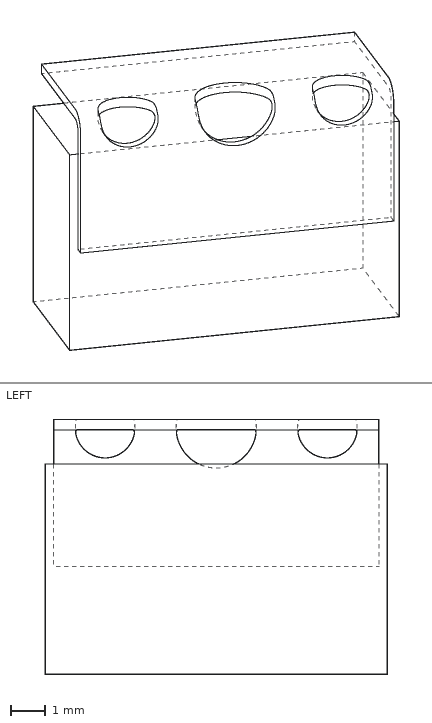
import cadquery as cq

block_depth = 4.0
block_width = 10.0
block_height = 6.15

plate_thickness = 0.3
plate_width = 9.5
plate_gap = 1.0
bend_inner_radius = 0.3
bend_outer_radius = bend_inner_radius + plate_thickness

plate_outer_x = block_depth + plate_thickness
plate_underside_z = block_height + plate_gap
plate_top_z = plate_underside_z + plate_thickness
leg_length = plate_outer_x
plate_bottom_z = plate_top_z - leg_length

side_hole_offset = 3.25
side_hole_radius = 0.87
middle_hole_radius = 1.17
hole_inset = 0.25
holes = [
    (-side_hole_offset, side_hole_radius),
    (0.0, middle_hole_radius),
    (side_hole_offset, side_hole_radius),
]


def make_block():
    return cq.Workplane("XY").box(
        block_depth, block_width, block_height, centered=(False, True, False)
    )


def make_plate():
    """L-shaped strip of constant thickness with a rounded bend."""
    bend_x = plate_outer_x - bend_outer_radius
    bend_z = plate_top_z - bend_outer_radius
    return (
        cq.Workplane("XZ")
        .moveTo(0, plate_underside_z)
        .lineTo(0, plate_top_z)
        .lineTo(bend_x, plate_top_z)
        .radiusArc((plate_outer_x, bend_z), bend_outer_radius)
        .lineTo(plate_outer_x, plate_bottom_z)
        .lineTo(block_depth, plate_bottom_z)
        .lineTo(block_depth, bend_z)
        .radiusArc((bend_x, plate_underside_z), -bend_inner_radius)
        .close()
        .extrude(plate_width / 2, both=True)
    )


def hole_cutter(y, radius):
    """A hole folded over the bend: a drill through each leg, mitred along the bend diagonal."""
    drill_height = bend_outer_radius
    vertical_drill = (
        cq.Workplane("XY", origin=(plate_outer_x - hole_inset, y, plate_top_z - drill_height))
        .circle(radius)
        .extrude(drill_height)
    )
    above_diagonal = (
        cq.Workplane("XZ")
        .polyline([(0, plate_bottom_z), (0, plate_top_z), (plate_outer_x, plate_top_z)])
        .close()
        .extrude(plate_width / 2, both=True)
    )
    top_half = vertical_drill.intersect(above_diagonal)
    side_half = top_half.mirror(cq.Vector(1, 0, -1), (plate_outer_x, 0, plate_top_z))
    return top_half, side_half


plate = make_plate()
for hole_y, hole_radius in holes:
    for half in hole_cutter(hole_y, hole_radius):
        plate = plate.cut(half)

result = make_block().union(plate)